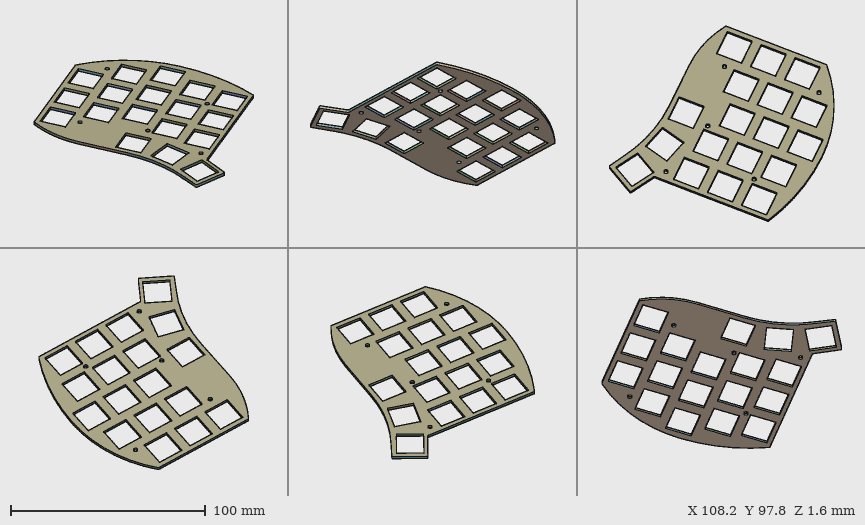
import cadquery as cq
import math

thickness = 1.6
plate_length = 108.2
plate_depth = 97.8
corner_radius = 0.6

key_size = 14.0
key_pitch = 19.0
rows = 3
first_column_x = 9.6
bottom_row_y = [31.1, 43.2, 49.2, 42.7, 40.1]
thumb_keys = [(54.5, 23.6, 0), (75.9, 20.9, -15), (95.7, 12.8, -30)]

screw_diameter = 2.2
screw_points = [(16.5, 81.6), (76.2, 71.2), (57.1, 36.9), (22.0, 31.0), (90.3, 27.9)]

right_edge_x = 95.2
left_top_y = 78.7
left_bottom_y = 22.2
right_top_y = 87.4
crest_x = 50.0
bottom_edge_y = 14.0
bottom_edge_start_x = 28.6
bottom_edge_end_x = 54.7
thumb_angle = math.radians(30)
thumb_curve_radius = 72.1
thumb_width = 18.6


def level_arc_middle(level_end, other_end):
    """Midpoint of an arc that runs parallel to X at level_end and passes through other_end."""
    dx = other_end[0] - level_end[0]
    dy = other_end[1] - level_end[1]
    radius = (dx**2 + dy**2) / (2 * dy)
    half_turn = math.atan2(abs(dy), abs(dx))
    middle_x = level_end[0] + math.copysign(abs(radius) * math.sin(half_turn), dx)
    middle_y = level_end[1] + radius * (1 - math.cos(half_turn))
    return middle_x, middle_y


def rounded_tip_reach():
    """Approximate distance that rounding takes off the thumb tip, along X or Y."""
    corner_to_center = corner_radius * math.sqrt(2)
    return corner_to_center * math.cos(math.pi / 4 - thumb_angle) - corner_radius


def make_plate():
    tip_trim = rounded_tip_reach()
    tip_top_x = plate_length + tip_trim
    tip_bottom = (tip_top_x - thumb_width * math.sin(thumb_angle), -tip_trim)
    tip_top = (tip_top_x, tip_bottom[1] + thumb_width * math.cos(thumb_angle))
    inner_corner_y = tip_top[1] + (tip_top_x - right_edge_x) * math.tan(thumb_angle)
    inner_corner = (right_edge_x, inner_corner_y)

    left_top = (0, left_top_y)
    crest = (crest_x, plate_depth)
    right_top = (right_edge_x, right_top_y)
    left_bottom = (0, left_bottom_y)
    bottom_start = (bottom_edge_start_x, bottom_edge_y)
    bottom_end = (bottom_edge_end_x, bottom_edge_y)
    curve_end = (
        bottom_edge_end_x + thumb_curve_radius * math.sin(thumb_angle),
        bottom_edge_y - thumb_curve_radius * (1 - math.cos(thumb_angle)),
    )
    outline = (
        cq.Workplane("XY")
        .moveTo(*left_bottom)
        .lineTo(*left_top)
        .threePointArc(level_arc_middle(crest, left_top), crest)
        .threePointArc(level_arc_middle(crest, right_top), right_top)
        .lineTo(*inner_corner)
        .lineTo(*tip_top)
        .lineTo(*tip_bottom)
        .lineTo(*curve_end)
        .threePointArc(level_arc_middle(bottom_end, curve_end), bottom_end)
        .lineTo(*bottom_start)
        .threePointArc(level_arc_middle(bottom_start, left_bottom), left_bottom)
        .close()
    )
    plate = outline.extrude(thickness)
    corners = [left_bottom, left_top, right_top, inner_corner, tip_top, tip_bottom]
    for x, y in corners:
        corner_edge = cq.selectors.NearestToPointSelector((x, y, thickness / 2))
        plate = plate.edges("|Z").edges(corner_edge).fillet(corner_radius)
    return plate


def key_cutter(x, y, angle=0):
    return (
        cq.Workplane("XY")
        .center(x, y)
        .transformed(rotate=(0, 0, angle))
        .rect(key_size, key_size)
        .extrude(thickness)
    )


result = make_plate()

for column, base_y in enumerate(bottom_row_y):
    for row in range(rows):
        x = first_column_x + column * key_pitch
        result = result.cut(key_cutter(x, base_y + row * key_pitch))

for x, y, angle in thumb_keys:
    result = result.cut(key_cutter(x, y, angle))

screw_cutters = cq.Workplane("XY").pushPoints(screw_points).circle(screw_diameter / 2).extrude(thickness)
result = result.cut(screw_cutters)